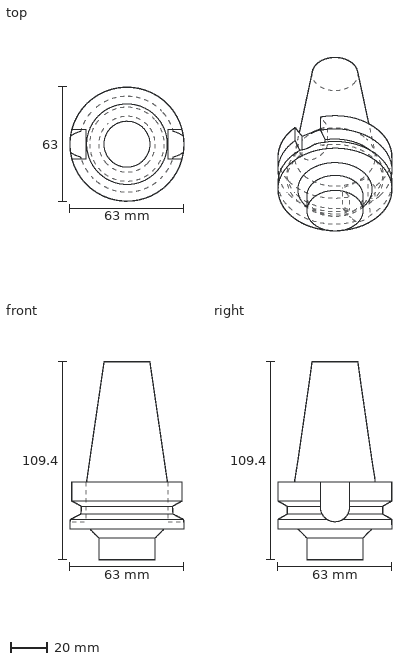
import cadquery as cq
import math


gauge_diameter = 44.45
taper_length = 65.4
taper_ratio = 7 / 24
taper_small_diameter = gauge_diameter - taper_ratio * taper_length

flange_diameter = 63.0
flange_top = -1.0
flange_bottom = -27.0

groove_center = -16.6
groove_root_diameter = 53.0
groove_root_width = 4.3
groove_flank_angle = 30.0
groove_depth = (flange_diameter - groove_root_diameter) / 2
groove_flank_height = groove_depth * math.tan(math.radians(groove_flank_angle))

nose_diameter = 31.0
nose_bottom = -44.0
nose_cone_height = 5.0
nose_cone_top_diameter = nose_diameter + 2 * nose_cone_height

slot_width = 16.1
slot_floor_offset = 22.6
slot_bottom = -23.0
slot_clearance = 1.0


def make_body():
    """Solid of revolution made of the taper, grooved flange and nose."""
    root_top = groove_center + groove_root_width / 2
    root_bottom = groove_center - groove_root_width / 2
    half_profile = [
        (0, taper_length),
        (taper_small_diameter / 2, taper_length),
        (gauge_diameter / 2, 0),
        (gauge_diameter / 2, flange_top),
        (flange_diameter / 2, flange_top),
        (flange_diameter / 2, root_top + groove_flank_height),
        (groove_root_diameter / 2, root_top),
        (groove_root_diameter / 2, root_bottom),
        (flange_diameter / 2, root_bottom - groove_flank_height),
        (flange_diameter / 2, flange_bottom),
        (nose_cone_top_diameter / 2, flange_bottom),
        (nose_diameter / 2, flange_bottom - nose_cone_height),
        (nose_diameter / 2, nose_bottom),
        (0, nose_bottom),
    ]
    return cq.Workplane("XZ").polyline(half_profile).close().revolve(360, (0, 0, 0), (0, 1, 0))


def make_drive_slot(side):
    """Round-bottomed slot cutter; side is -1 for the -X slot and +1 for the +X slot."""
    half_width = slot_width / 2
    cutter_top = flange_top + slot_clearance
    arc_center = slot_bottom + half_width
    cutter_depth = flange_diameter / 2 + slot_clearance - slot_floor_offset
    return (
        cq.Workplane("YZ", origin=(side * slot_floor_offset, 0, 0))
        .moveTo(-half_width, cutter_top)
        .lineTo(-half_width, arc_center)
        .threePointArc((0, slot_bottom), (half_width, arc_center))
        .lineTo(half_width, cutter_top)
        .close()
        .extrude(side * cutter_depth)
    )


result = make_body()
for slot_side in (-1, 1):
    result = result.cut(make_drive_slot(slot_side))